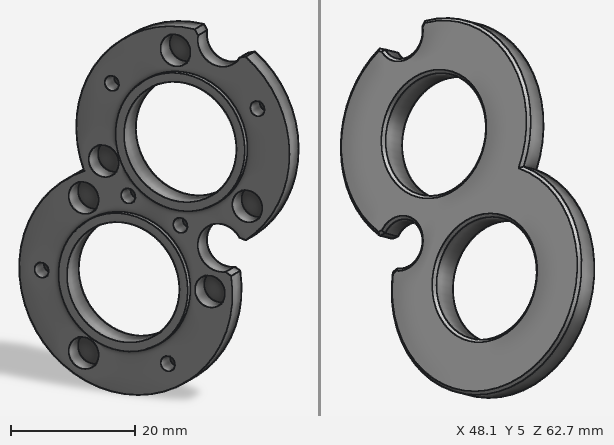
import cadquery as cq
import math

length_x = 48.15
length_z = 62.7
disc_diameter = 38.0
disc_radius = disc_diameter / 2
plate_thickness = 4.0
collar_height = 1.0
collar_diameter = 23.0
bore_diameter = 20.0
rear_chamfer = 0.5

scallop_radius = 4.0
scallop_distance = 18.45
corner_chamfer = 0.9

large_hole_diameter = 5.3
small_hole_diameter = 2.5
hole_depth = 3.5
hole_circle_radius = 15.0
waist_hole_offset = 5.0
lower_large_angles = (0, 120, 240)
lower_small_angles = (180, 300)
upper_large_angles = (95, 200, 320)
upper_small_angles = (27.5, 147.5)

half_step_x = (length_x - disc_diameter) / 2
half_step_z = (length_z - disc_diameter) / 2
half_spacing = math.hypot(half_step_x, half_step_z)
axis_x = half_step_x / half_spacing
axis_z = half_step_z / half_spacing
upper_center = (half_step_x, half_step_z)
lower_center = (-half_step_x, -half_step_z)
disc_centers = [lower_center, upper_center]

waist_distance = math.sqrt(scallop_distance**2 - half_spacing**2)
waist_scallop = (waist_distance * axis_z, -waist_distance * axis_x)
upper_scallop = (waist_scallop[0], 2 * half_step_z - waist_scallop[1])


def cylinders(centers, diameter, start_y, depth):
    """Cylinders along +Y from start_y, at the given (x, z) centres."""
    plane = cq.Workplane("XZ", origin=(0, start_y, 0))
    return plane.pushPoints(centers).circle(diameter / 2).extrude(-depth)


def polar_point(center, radius, angle):
    """Point at the given radius and angle in radians, from +X toward +Z."""
    return (center[0] + radius * math.cos(angle), center[1] + radius * math.sin(angle))


def points_on_circle(center, angles):
    """Points on the hole circle, with angles in degrees from +X toward +Z."""
    return [polar_point(center, hole_circle_radius, math.radians(angle)) for angle in angles]


def direction(start, end):
    """Angle of the line from start to end."""
    return math.atan2(end[1] - start[1], end[0] - start[0])


def corner_angles(disc_center, scallop_center, side):
    """Disc angle and scallop angle at the two ends of a bevelled corner.

    Side is +1 for the corner counterclockwise of the scallop, seen from the disc, and -1 otherwise.
    """
    bearing = direction(disc_center, scallop_center)
    along = (disc_radius**2 + scallop_distance**2 - scallop_radius**2) / (2 * scallop_distance)
    disc_turn = math.acos(along / disc_radius) + corner_chamfer / disc_radius
    scallop_turn = math.acos((along - scallop_distance) / scallop_radius) + corner_chamfer / scallop_radius
    return bearing + side * disc_turn, bearing + side * scallop_turn


def plate():
    """Plate outline run counterclockwise from the left waist, with a bevelled rear rim."""
    lower_end, waist_start = corner_angles(lower_center, waist_scallop, -1)
    upper_start, waist_end = corner_angles(upper_center, waist_scallop, 1)
    upper_end, top_start = corner_angles(upper_center, upper_scallop, -1)
    crown_start, top_end = corner_angles(upper_center, upper_scallop, 1)

    waist_half_width = math.sqrt(disc_radius**2 - half_spacing**2)
    left_waist = (-waist_half_width * axis_z, waist_half_width * axis_x)
    lower_start = direction(lower_center, left_waist)
    crown_end = direction(upper_center, left_waist) + 2 * math.pi

    arcs = [
        (lower_center, disc_radius, lower_start, lower_end + 2 * math.pi),
        (waist_scallop, scallop_radius, waist_start + 2 * math.pi, waist_end),
        (upper_center, disc_radius, upper_start, upper_end),
        (upper_scallop, scallop_radius, top_start + 2 * math.pi, top_end),
        (upper_center, disc_radius, crown_start, crown_end),
    ]
    outline = cq.Workplane("XZ").moveTo(*left_waist)
    for center, radius, start, end in arcs:
        if center != lower_center:
            outline = outline.lineTo(*polar_point(center, radius, start))
        middle = polar_point(center, radius, (start + end) / 2)
        outline = outline.threePointArc(middle, polar_point(center, radius, end))
    body = outline.close().extrude(-plate_thickness)
    return body.faces(">Y").edges().chamfer(rear_chamfer)


def add_collars(body):
    """Raised ring around each bore, with a through bore bevelled at the rear."""
    body = body.union(cylinders(disc_centers, collar_diameter, -collar_height, collar_height))
    total_depth = plate_thickness + collar_height
    body = body.cut(cylinders(disc_centers, bore_diameter, -collar_height, total_depth))
    rear_y = plate_thickness - rear_chamfer
    for center_x, center_z in disc_centers:
        bevel = cq.Solid.makeCone(
            bore_diameter / 2,
            bore_diameter / 2 + rear_chamfer,
            rear_chamfer,
            cq.Vector(center_x, rear_y, center_z),
            cq.Vector(0, 1, 0),
        )
        body = body.cut(cq.Workplane(bevel))
    return body


def cut_holes(body):
    """Blind holes around both bores, plus two small ones across the waist."""
    large_holes = points_on_circle(lower_center, lower_large_angles)
    large_holes += points_on_circle(upper_center, upper_large_angles)
    small_holes = points_on_circle(lower_center, lower_small_angles)
    small_holes += points_on_circle(upper_center, upper_small_angles)
    for side in (-1, 1):
        offset = side * waist_hole_offset
        small_holes.append((offset * axis_z, -offset * axis_x))
    body = body.cut(cylinders(large_holes, large_hole_diameter, 0, hole_depth))
    return body.cut(cylinders(small_holes, small_hole_diameter, 0, hole_depth))


result = cut_holes(add_collars(plate()))